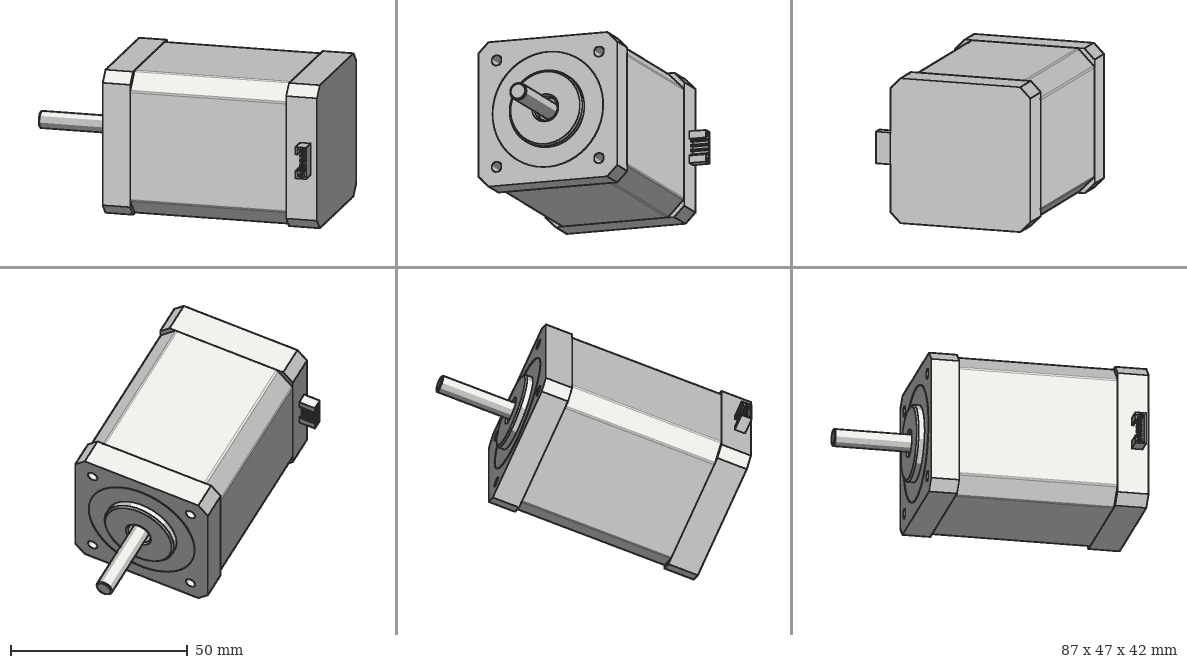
import cadquery as cq

overall_length = 87.0
overall_width = 47.0
shaft_reach = 24.0
front_cap_length = 8.1
rear_cap_length = 9.05
body_length = overall_length - shaft_reach
stator_length = body_length - front_cap_length - rear_cap_length
rear_cap_start = front_cap_length + stator_length

cap_width = 42.0
cap_chamfer = 3.05

stator_inset = 0.1
stator_width = cap_width - 2 * stator_inset
stator_chamfer = 4.9
stator_edge_radius = 0.9

pilot_diameter = 22.0
pilot_height = 2.0
pilot_chamfer = 0.5
face_recess_diameter = 33.5
face_recess_depth = 0.2
screw_spacing = 31.0
screw_hole_diameter = 3.0

shaft_diameter = 5.0
shaft_chamfer = 0.35
shaft_pocket_diameter = 7.0
shaft_pocket_depth = 3.5
shaft_pocket_chamfer = 0.5

connector_length = 3.1
connector_height = 9.2
connector_reach = overall_width - cap_width
connector_wall = 0.5
connector_slot = 4.9
connector_rear_gap = 1.8
pin_count = 6
pin_pitch = 1.4
pin_width = 0.5
connector_center_x = body_length - connector_rear_gap - connector_length / 2


def square_prism(start_x, length, width, chamfer):
    """Square bar along X with its four long edges chamfered."""
    return (
        cq.Workplane("YZ", origin=(start_x, 0, 0))
        .rect(width, width)
        .extrude(length)
        .edges("|X")
        .chamfer(chamfer)
    )


def cylinder(start_x, length, diameter):
    """Round bar along X."""
    return cq.Workplane("YZ", origin=(start_x, 0, 0)).circle(diameter / 2).extrude(length)


def connector_block(reach, size_x, size_z):
    """Box centred on the connector, standing on the -Y side of the rear cap."""
    return (
        cq.Workplane("XZ", origin=(connector_center_x, -cap_width / 2, 0))
        .rect(size_x, size_z)
        .extrude(reach)
    )


def make_front_cap():
    cap = square_prism(0, front_cap_length, cap_width, cap_chamfer)
    cap = cap.cut(cylinder(0, face_recess_depth, face_recess_diameter))

    pilot = cylinder(-pilot_height, pilot_height + face_recess_depth, pilot_diameter)
    cap = cap.union(pilot.faces("<X").chamfer(pilot_chamfer))

    screw_holes = (
        cq.Workplane("YZ")
        .rect(screw_spacing, screw_spacing, forConstruction=True)
        .vertices()
        .circle(screw_hole_diameter / 2)
        .extrude(front_cap_length)
    )
    cap = cap.cut(screw_holes)

    cap = cap.cut(cylinder(-pilot_height, shaft_pocket_depth, shaft_pocket_diameter))
    pocket_rim = cap.faces("<X").edges(cq.selectors.RadiusNthSelector(0))
    cap = pocket_rim.chamfer(shaft_pocket_chamfer)

    return cap.cut(cylinder(-pilot_height, pilot_height + front_cap_length, shaft_diameter))


def make_stator():
    bar = square_prism(front_cap_length, stator_length, stator_width, stator_chamfer)
    return bar.edges("|X").fillet(stator_edge_radius)


def make_rear_cap():
    """Rear cap with the row of contact pins standing on its -Y side."""
    cap = square_prism(rear_cap_start, rear_cap_length, cap_width, cap_chamfer)
    for index in range(pin_count):
        pin_z = (index - (pin_count - 1) / 2) * pin_pitch
        pin = connector_block(connector_reach, pin_width, pin_width)
        cap = cap.union(pin.translate((0, 0, pin_z)))
    return cap


def make_shaft():
    """Shaft from its chamfered tip through the front cap to the stator."""
    shaft = cylinder(-shaft_reach, shaft_reach + front_cap_length, shaft_diameter)
    return shaft.faces("<X").chamfer(shaft_chamfer)


def make_connector_shell():
    """Shell around the pins, open towards -Y and slotted on its -X side."""
    shell = connector_block(connector_reach, connector_length, connector_height)
    cavity = connector_block(
        connector_reach,
        connector_length - 2 * connector_wall,
        connector_height - 2 * connector_wall,
    )
    slot = connector_block(connector_reach, connector_length, connector_slot)
    return shell.cut(cavity).cut(slot.translate((-connector_length / 2, 0, 0)))


front_cap = make_front_cap()
stator = make_stator()
rear_cap = make_rear_cap()
shaft = make_shaft()
connector_shell = make_connector_shell()

result = cq.Compound.makeCompound(
    [front_cap.val(), stator.val(), rear_cap.val(), shaft.val(), connector_shell.val()]
)